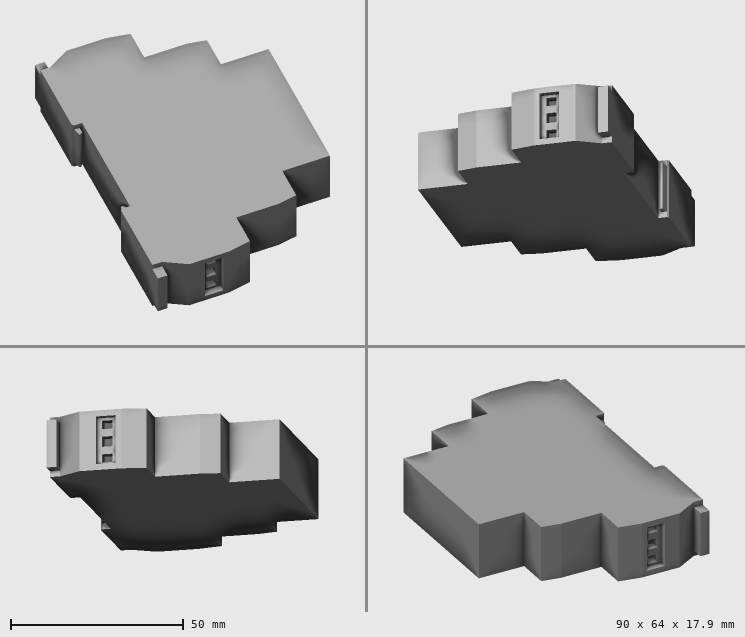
import cadquery as cq
import math

length = 90.0
height = 64.0
thickness = 17.9
half_length = length / 2

top_half_width = 22.5
middle_half_width = 33.75
upper_step_y = 49.0
lower_step_y = 29.6
shoulder_angle = 10.0
middle_slope_start_y = 43.0
lower_slope_start_y = 22.3
chin_y = 9.9
foot_half_width = 41.0

recess_half_width = 17.55
recess_depth = 3.1
recess_chamfer = 0.5

insert_width = 14.3

clip_reach = 2.3
clip_flat = 1.7
clip_top_y = 2.25
clip_tip_top_y = 1.7
clip_tip_bottom_y = 1.2
clip_bottom_y = recess_chamfer

pocket_top_y = 20.7
pocket_bottom_y = 14.85
pocket_depth = 2.0
socket_center_y = 17.7
socket_size = 3.1
outer_socket_width = 2.5
socket_spacing = 5.0
socket_depth = 2.7


def extrude_centered(points, width):
    """Closed XY outline extruded along Z, centred on Z = 0."""
    return cq.Workplane("XY").polyline(points).close().extrude(width / 2, both=True)


def end_cut(center_y, center_z, size_y, size_z, depth):
    """Block reaching inward from the -X end face by the given depth."""
    return cq.Workplane("XY").box(depth, size_y, size_z).translate(
        (-half_length + depth / 2, center_y, center_z)
    )


def both_ends(shape):
    """The shape together with its mirror image about X = 0."""
    return shape.union(shape.mirror("YZ"))


def shoulder_inset(start_y, end_y):
    """How far a shoulder leans inward between its start and its step."""
    return (end_y - start_y) * math.tan(math.radians(shoulder_angle))


def make_body():
    lower_inset = shoulder_inset(lower_slope_start_y, lower_step_y)
    middle_inset = shoulder_inset(middle_slope_start_y, upper_step_y)
    right_side = [
        (recess_half_width, recess_depth),
        (recess_half_width, recess_chamfer),
        (recess_half_width + recess_chamfer, 0),
        (foot_half_width, 0),
        (foot_half_width, recess_depth),
        (half_length, chin_y),
        (half_length, lower_slope_start_y),
        (half_length - lower_inset, lower_step_y),
        (middle_half_width, lower_step_y),
        (middle_half_width, middle_slope_start_y),
        (middle_half_width - middle_inset, upper_step_y),
        (top_half_width, upper_step_y),
        (top_half_width, height),
    ]
    left_side = [(-x, y) for x, y in reversed(right_side)]
    return extrude_centered(right_side + left_side, thickness)


def make_end_tabs():
    tab = [
        (-half_length, 0),
        (-foot_half_width, 0),
        (-foot_half_width, recess_depth),
        (-half_length, recess_depth),
    ]
    return both_ends(extrude_centered(tab, insert_width))


def make_rail_clips():
    wall_x = -recess_half_width
    clip = [
        (wall_x, clip_bottom_y),
        (wall_x + clip_reach, clip_tip_bottom_y),
        (wall_x + clip_reach, clip_tip_top_y),
        (wall_x + clip_flat, clip_top_y),
        (wall_x, clip_top_y),
    ]
    return both_ends(extrude_centered(clip, insert_width))


def make_terminal_cuts():
    pocket_center_y = (pocket_top_y + pocket_bottom_y) / 2
    pocket_height = pocket_top_y - pocket_bottom_y
    cuts = end_cut(pocket_center_y, 0, pocket_height, insert_width, pocket_depth)
    total_depth = pocket_depth + socket_depth
    for position in (-1, 0, 1):
        width = socket_size if position == 0 else outer_socket_width
        center_z = position * socket_spacing
        cuts = cuts.union(end_cut(socket_center_y, center_z, socket_size, width, total_depth))
    return both_ends(cuts)


result = make_body().union(make_end_tabs()).union(make_rail_clips()).cut(make_terminal_cuts())